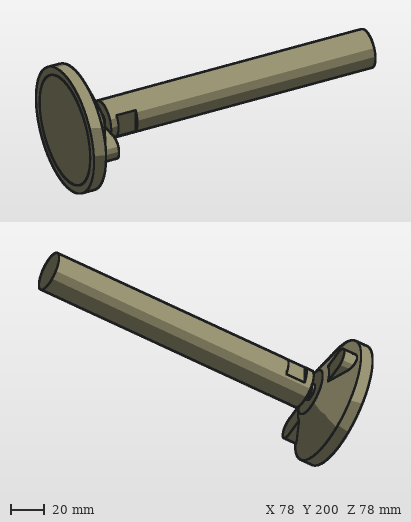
import cadquery as cq

total_length = 200.0

foot_diameter = 78.0
rim_height = 8.0
cone_top_diameter = 28.5
foot_height = 20.0

pad_diameter = 67.5
pad_seat_diameter = 68.0
groove_depth = 2.0

lug_span = 72.8
lug_width = 14.5
lug_top = 18.0

collar_diameter = 10.5
collar_height = 1.2
neck_diameter = 7.8

stem_diameter = 24.0
stem_start = 24.8
flats_start = 29.5
flats_length = 12.5
width_across_flats = 18.8


def cylinder(diameter, start, end):
    """Cylinder on the Y axis between two heights above the sole."""
    disc = cq.Workplane("XZ", origin=(0, start, 0)).circle(diameter / 2)
    return disc.extrude(start - end)


def make_foot():
    foot_radius = foot_diameter / 2
    profile = [
        (0, 0),
        (foot_radius, 0),
        (foot_radius, rim_height),
        (cone_top_diameter / 2, foot_height),
        (0, foot_height),
    ]
    return cq.Workplane("XY").polyline(profile).close().revolve(360, (0, 0), (0, 1))


def make_lugs():
    """Both lugs as one long slot shape, buried in the foot at the middle and below."""
    base_height = rim_height / 2
    base = cq.Workplane("XZ", origin=(0, base_height, 0)).slot2D(lug_span, lug_width)
    return base.extrude(base_height - lug_top)


def make_pad_groove():
    seat = cylinder(pad_seat_diameter, 0, groove_depth)
    pad = cylinder(pad_diameter, 0, groove_depth)
    return seat.cut(pad)


def make_collar():
    """Short cone narrowing from the foot to the neck."""
    base = cq.Workplane("XZ", origin=(0, foot_height, 0)).circle(collar_diameter / 2)
    return base.workplane(offset=-collar_height).circle(neck_diameter / 2).loft()


def make_stem():
    stem = cylinder(stem_diameter, stem_start, total_length)
    flat_depth = (stem_diameter - width_across_flats) / 2
    flat_offset = (width_across_flats + flat_depth) / 2
    flats_middle = flats_start + flats_length / 2
    for side in (-1, 1):
        notch = cq.Workplane("XY").box(flat_depth, flats_length, stem_diameter)
        stem = stem.cut(notch.translate((side * flat_offset, flats_middle, 0)))
    return stem


collar_top = foot_height + collar_height

result = make_foot().union(make_lugs()).cut(make_pad_groove())
result = result.union(make_collar())
result = result.union(cylinder(neck_diameter, collar_top, stem_start))
result = result.union(make_stem())